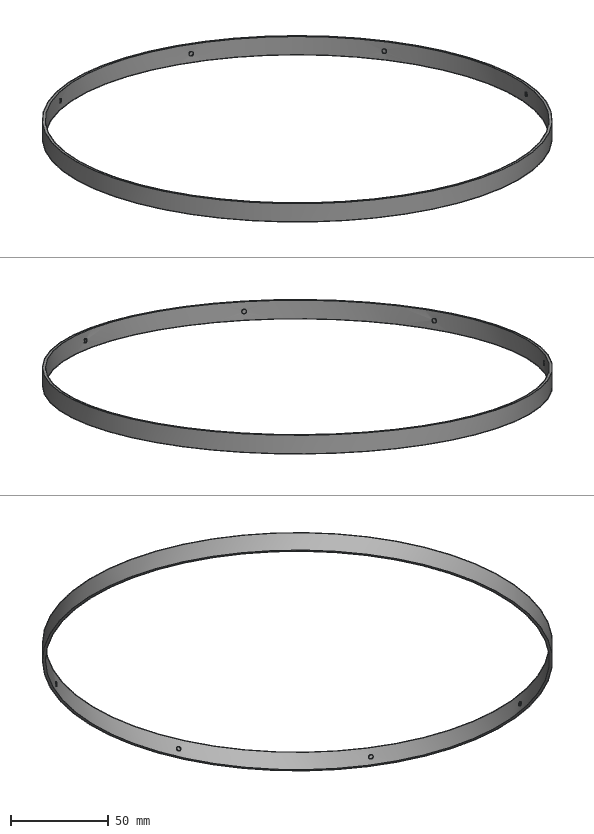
import cadquery as cq

outer_diameter = 262.0
inner_diameter = 258.9
height = 10.0

hole_diameter = 2.44
hole_depth = 0.5
hole_count = 8
hole_drop = 0.3

inner_radius = inner_diameter / 2
hole_height = height / 2 - hole_drop


def make_hoop():
    """Plain ring standing on the XY plane."""
    return cq.Workplane("XY").circle(outer_diameter / 2).circle(inner_radius).extrude(height)


def make_radial_hole(angle):
    """Cutter running from the hoop axis to the blind hole's floor at the given angle."""
    return (
        cq.Workplane("YZ")
        .center(0, hole_height)
        .circle(hole_diameter / 2)
        .extrude(inner_radius + hole_depth)
        .rotate((0, 0, 0), (0, 0, 1), angle)
    )


result = make_hoop()
for index in range(hole_count):
    result = result.cut(make_radial_hole(index * 360 / hole_count))